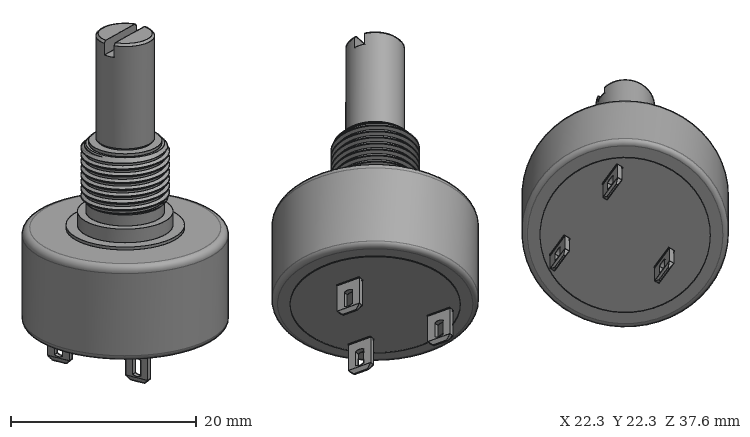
import cadquery as cq
import math

body_bottom = 4.02
body_top = 15.0
washer_top = 15.35
collar_top = 16.9
thread_bottom = 18.2
thread_top = 24.85
spigot_top = 25.2
shaft_top = 37.6

body_radius = 11.13
body_top_fillet = 0.83
body_bottom_fillet = 0.6
base_disc_radius = 9.17
base_disc_height = 0.1

washer_radius = 6.4
collar_radius = 5.15
neck_radius = 4.25

thread_radius = 4.77
root_radius = 4.4
thread_pitch = 0.8
crest_width = 0.1
flank_angle = 30.0
ridge_embedding = 0.08
thread_phase_height = 22.25
thread_end_chamfer = thread_radius - neck_radius
spigot_radius = 3.95

shaft_diameter = 6.35
shaft_radius = shaft_diameter / 2
shaft_chamfer = 0.25
slot_width = 1.25
slot_depth = 1.6

terminal_offset = 5.07
terminal_width = 2.85
terminal_thickness = 0.55
tip_width = 1.75
tip_thickness = 0.2
tip_height = 0.53
eye_width = 1.0
eye_bottom = 0.68
eye_top = 2.8
eye_arc_rise = 0.15
shoulder_thickness = 0.8
shoulder_bottom = 3.85
terminal_positions = [
    (-terminal_offset, -terminal_offset),
    (terminal_offset, -terminal_offset),
    (0, terminal_offset),
]

overlap = 0.38


def disc(radius, bottom, top):
    return cq.Workplane("XY").workplane(offset=bottom).circle(radius).extrude(top - bottom)


def make_body():
    housing = disc(body_radius, body_bottom, body_top)
    housing = housing.faces(">Z").edges().fillet(body_top_fillet)
    housing = housing.faces("<Z").edges().fillet(body_bottom_fillet)
    base_disc = disc(base_disc_radius, body_bottom - base_disc_height, body_bottom + overlap)
    washer = disc(washer_radius, body_top - overlap, washer_top)
    collar = disc(collar_radius, body_top - overlap, collar_top)
    neck = disc(neck_radius, body_top - overlap, thread_bottom + overlap)
    return housing.union(base_disc).union(washer).union(collar).union(neck)


def make_thread_ridge():
    """Right-handed helical ridge that runs past both ends of the bushing."""
    turns_below = math.ceil((thread_phase_height - thread_bottom) / thread_pitch) + 1
    turns_above = math.ceil((thread_top - thread_phase_height) / thread_pitch) + 1
    start_height = thread_phase_height - turns_below * thread_pitch
    helix_height = (turns_below + turns_above) * thread_pitch

    embedded_radius = root_radius - ridge_embedding
    slope = math.tan(math.radians(flank_angle))
    half_crest = crest_width / 2
    half_base = half_crest + (thread_radius - embedded_radius) * slope

    path = cq.Wire.makeHelix(thread_pitch, helix_height, root_radius)
    ridge = (
        cq.Workplane("XZ")
        .moveTo(embedded_radius, -half_base)
        .lineTo(thread_radius, -half_crest)
        .lineTo(thread_radius, half_crest)
        .lineTo(embedded_radius, half_base)
        .close()
        .sweep(cq.Workplane(path), isFrenet=True)
    )
    return ridge.translate((0, 0, start_height))


def make_bushing():
    """Thread trimmed by equal end chamfers, with a plain spigot standing on top."""
    envelope = disc(thread_radius + overlap, thread_bottom, thread_top)
    envelope = envelope.faces("<Z or >Z").edges().chamfer(thread_end_chamfer + overlap)
    core = disc(root_radius, thread_bottom, thread_top)
    trimmed_ridge = make_thread_ridge().intersect(envelope)
    spigot = disc(spigot_radius, thread_top - overlap, spigot_top)
    return core.intersect(envelope).union(trimmed_ridge).union(spigot)


def make_shaft():
    shaft = disc(shaft_radius, spigot_top, shaft_top)
    shaft = shaft.faces("<Z or >Z").edges().chamfer(shaft_chamfer)
    slot = cq.Workplane("XY").box(slot_width, 2 * shaft_diameter, 2 * slot_depth)
    shaft = shaft.cut(slot.translate((0, 0, shaft_top)))
    embedded_end = disc(shaft_radius - shaft_chamfer, spigot_top - overlap, spigot_top + overlap)
    return shaft.union(embedded_end)


def make_terminal():
    """Flat solder lug with a bevelled tip, an eye and a thicker shoulder at its root."""
    root_top = body_bottom + overlap
    blade = (
        cq.Workplane("XY")
        .workplane(offset=tip_height)
        .rect(terminal_width, terminal_thickness)
        .extrude(root_top - tip_height)
    )
    tip = (
        cq.Workplane("XY")
        .rect(tip_width, tip_thickness)
        .workplane(offset=tip_height)
        .rect(terminal_width, terminal_thickness)
        .loft(ruled=True)
    )
    shoulder = (
        cq.Workplane("XY")
        .workplane(offset=shoulder_bottom)
        .rect(terminal_width, shoulder_thickness)
        .extrude(root_top - shoulder_bottom)
    )
    half_eye = eye_width / 2
    eye = (
        cq.Workplane("XZ")
        .moveTo(-half_eye, eye_bottom + eye_arc_rise)
        .threePointArc((0, eye_bottom), (half_eye, eye_bottom + eye_arc_rise))
        .lineTo(half_eye, eye_top - eye_arc_rise)
        .threePointArc((0, eye_top), (-half_eye, eye_top - eye_arc_rise))
        .close()
        .extrude(terminal_thickness, both=True)
    )
    return blade.union(tip).union(shoulder).cut(eye)


result = make_body().union(make_bushing()).union(make_shaft())
for x, y in terminal_positions:
    result = result.union(make_terminal().translate((x, y, 0)))